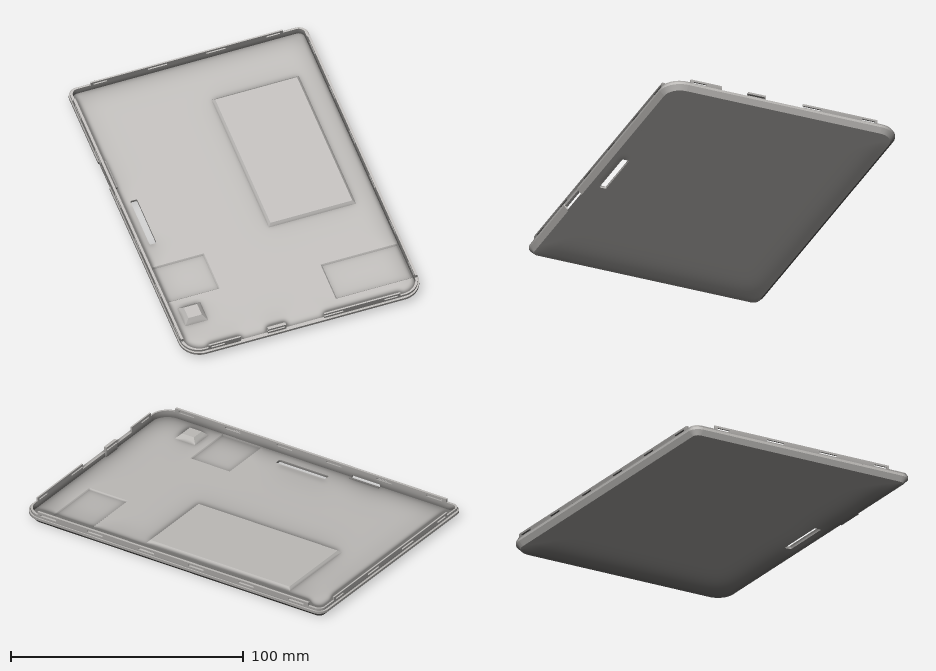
import cadquery as cq

LENGTH = 156.0
WIDTH = 109.0
HEIGHT = 5.8

FLOOR_TOP = 1.1
SHOULDER_TOP = 3.1
LOW_LIP_TOP = 4.2

LEFT_RADIUS = 4.5
RIGHT_RADIUS = 9.4
CHAMFER = 2.0
LIP_INSET_X = 1.01
LIP_INSET_Y = 0.6
CAVITY_INSET = 1.7

LONG_LIP_LEFT = -70.4
LONG_LIP_RIGHT = 69.7
SIDE_LIP_HALF = 43.7
RIGHT_GAP_ENDS = (-29.0, 8.9)

TAB_ENDS = (-16.7, -8.5)
TAB_INSET = 1.01
TAB_THICKNESS = 1.4

SNAP_HEIGHT = 0.8
SNAP_LEVEL = 4.45
LONG_SNAP_LENGTH = 8.0
LONG_SNAP_CENTRES = (-64.1, -38.2, -12.3, 13.4, 40.0, 64.1)
SIDE_SNAP_ENDS = ((8.9, 17.6), (36.3, 42.5))

PANEL_PAD = (-16.7, 23.2, 74.4, 39.8, 1.2)
SQUARE_PAD = (54.8, -43.2, 10.5, 10.5, 2.2)

BACK_RECESS = (57.1, 20.0, 17.6)
FRONT_RECESS = (35.0, 20.5, -27.6)
RECESS_DEPTH = 0.6

SLOT_CENTRE = (-0.2, -46.5)
SLOT_LENGTH = 25.5
SLOT_WIDTH = 3.1
SLOT_CORNER_RADIUS = 0.6

NOTCH_CENTRE_X = -28.9
NOTCH_LENGTH = 14.7
NOTCH_FACE_INSET = 0.5
RAMP_INSET = 1.4
RAMP_TOP = 2.2
RAMP_SIDE_OVERLAP = 0.3


def plate(inset_x, inset_y, bottom, top):
    """Plate with small left corners and large right corners, inset from the outer outline."""
    corner_inset = max(inset_x, inset_y)
    return (
        cq.Workplane("XY", origin=(0, 0, bottom))
        .rect(LENGTH - 2 * inset_x, WIDTH - 2 * inset_y)
        .extrude(top - bottom)
        .edges("|Z and <X").fillet(LEFT_RADIUS - corner_inset)
        .edges("|Z and >X").fillet(RIGHT_RADIUS - corner_inset)
    )


def block(x_ends, y_ends, z_ends):
    """Box given by its end coordinates."""
    size = [ends[1] - ends[0] for ends in (x_ends, y_ends, z_ends)]
    return cq.Workplane("XY").box(*size, centered=False).translate((x_ends[0], y_ends[0], z_ends[0]))


def floor_frustum(x, y, length, width, height):
    """Frustum with 45 degree sides based on the floor; a negative height points it downward."""
    side_run = abs(height)
    return (
        cq.Workplane("XY", origin=(x, y, FLOOR_TOP))
        .rect(length, width)
        .workplane(offset=height)
        .rect(length - 2 * side_run, width - 2 * side_run)
        .loft(ruled=True)
    )


def tray_body():
    """Tray with a 45 degree chamfer under its rim and a lip inset from its outer edge."""
    body = plate(0, 0, 0, SHOULDER_TOP).faces("<Z").chamfer(CHAMFER)
    lip = plate(LIP_INSET_X, LIP_INSET_Y, SHOULDER_TOP, HEIGHT)
    cavity = plate(CAVITY_INSET, CAVITY_INSET, FLOOR_TOP, HEIGHT)
    return body.union(lip).cut(cavity)


def lip_cuts():
    """Space that lowers the lip at the four corners and opens the gap in the right wall."""
    half_length = LENGTH / 2
    half_width = WIDTH / 2
    gap_start_x = half_length - RIGHT_RADIUS
    cuts = block((gap_start_x, half_length), RIGHT_GAP_ENDS, (SHOULDER_TOP, HEIGHT))
    for x_ends in ((-half_length, LONG_LIP_LEFT), (LONG_LIP_RIGHT, half_length)):
        for y_ends in ((-half_width, -SIDE_LIP_HALF), (SIDE_LIP_HALF, half_width)):
            cuts = cuts.union(block(x_ends, y_ends, (LOW_LIP_TOP, HEIGHT)))
    return cuts


def locating_tab():
    """Tab in the gap of the right wall, standing on the floor."""
    outer_x = LENGTH / 2 - TAB_INSET
    return block((outer_x - TAB_THICKNESS, outer_x), TAB_ENDS, (FLOOR_TOP, HEIGHT))


def snap_slots():
    """Rows of slots through all four sides of the lip, each cutter reaching across the tray."""
    z_ends = (SNAP_LEVEL - SNAP_HEIGHT / 2, SNAP_LEVEL + SNAP_HEIGHT / 2)
    slots = cq.Workplane("XY")
    for centre in LONG_SNAP_CENTRES:
        x_ends = (centre - LONG_SNAP_LENGTH / 2, centre + LONG_SNAP_LENGTH / 2)
        slots = slots.union(block(x_ends, (-WIDTH / 2, WIDTH / 2), z_ends))
    for near, far in SIDE_SNAP_ENDS:
        for y_ends in ((near, far), (-far, -near)):
            slots = slots.union(block((-LENGTH / 2, LENGTH / 2), y_ends, z_ends))
    return slots


def wall_recess(centre_x, width, free_end, wall_y):
    """Shallow floor recess that runs from its free end to a long wall."""
    centre_y = (free_end + wall_y) / 2
    return floor_frustum(centre_x, centre_y, width, abs(wall_y - free_end), -RECESS_DEPTH)


def floor_slot():
    """Through slot with rounded corners."""
    return (
        cq.Workplane("XY")
        .center(*SLOT_CENTRE)
        .rect(SLOT_LENGTH, SLOT_WIDTH)
        .extrude(FLOOR_TOP)
        .edges("|Z").fillet(SLOT_CORNER_RADIUS)
    )


def finger_notch():
    """Opening through the foot of the front wall, with the band above it set back a little."""
    x_ends = (NOTCH_CENTRE_X - NOTCH_LENGTH / 2, NOTCH_CENTRE_X + NOTCH_LENGTH / 2)
    front = -WIDTH / 2
    opening = block(x_ends, (front, front + RAMP_INSET + RAMP_TOP), (0, CHAMFER))
    set_back = block(x_ends, (front, front + NOTCH_FACE_INSET), (CHAMFER, SHOULDER_TOP))
    return opening.union(set_back)


def ramp(length, bottom):
    """Part above a level of the 45 degree wedge that rises inward from the underside."""
    toe = -WIDTH / 2 + RAMP_INSET
    back = toe + RAMP_TOP
    return (
        cq.Workplane("YZ", origin=(NOTCH_CENTRE_X, 0, 0))
        .polyline([(toe + bottom, bottom), (back, bottom), (back, RAMP_TOP)])
        .close()
        .extrude(length / 2, both=True)
    )


cavity_y = WIDTH / 2 - CAVITY_INSET

result = (
    tray_body()
    .cut(lip_cuts())
    .union(locating_tab())
    .cut(snap_slots())
    .union(floor_frustum(*PANEL_PAD))
    .union(floor_frustum(*SQUARE_PAD))
    .cut(wall_recess(*BACK_RECESS, cavity_y))
    .cut(wall_recess(*FRONT_RECESS, -cavity_y))
    .cut(floor_slot())
    .cut(finger_notch())
    .union(ramp(NOTCH_LENGTH, 0))
    .union(ramp(NOTCH_LENGTH + 2 * RAMP_SIDE_OVERLAP, FLOOR_TOP))
)